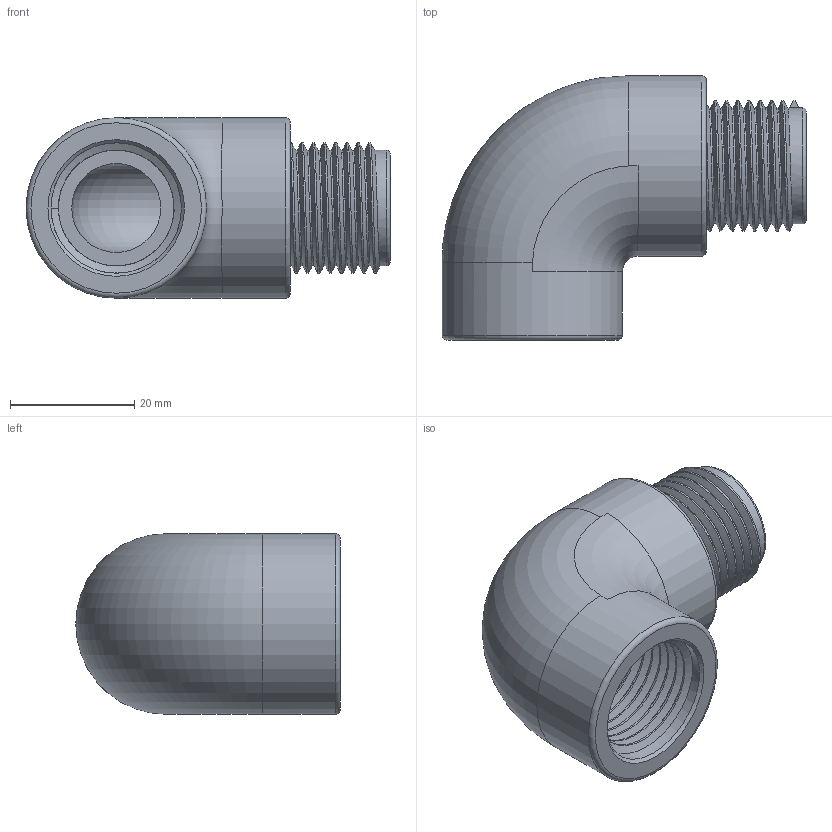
import cadquery as cq
import math

BODY_RADIUS = 14.5
LEG_LENGTH = 28.0
OUTER_BEND_RADIUS = 30.0
INNER_BEND_RADIUS = 2.5
END_FILLET = 0.8

MAJOR_RADIUS = 20.955 / 2
MINOR_RADIUS = 18.631 / 2
PITCH = 1.814
FLANK_ANGLE = math.radians(27.5)
CREST_WIDTH = 0.3
RIDGE_HEIGHT = MAJOR_RADIUS - MINOR_RADIUS
BASE_WIDTH = CREST_WIDTH + 2 * RIDGE_HEIGHT * math.tan(FLANK_ANGLE)
ROOT_OVERLAP = 0.1
THREAD_INSET = 1.9

SPIGOT_LENGTH = 16.0
SPIGOT_TIP = LEG_LENGTH + SPIGOT_LENGTH
SPIGOT_FILLET = 0.5
SPIGOT_TURNS = 8

SOCKET_DEPTH = 16.0
SOCKET_CHAMFER = 0.5
SOCKET_TURNS = 7

BORE_RADIUS = 7.15
BORE_BEND_RADIUS = LEG_LENGTH - SOCKET_DEPTH


def bent_round(radius, bend_radius, socket_end, spigot_end):
    """Round bar from Y = -socket_end, around the bend, to X = spigot_end."""
    diagonal = bend_radius * (1 - math.sqrt(0.5))
    path = (
        cq.Workplane("XY")
        .moveTo(0, -socket_end)
        .lineTo(0, -bend_radius)
        .threePointArc((diagonal, -diagonal), (bend_radius, 0))
        .lineTo(spigot_end, 0)
    )
    section = cq.Workplane("XZ", origin=(0, -socket_end, 0)).circle(radius)
    return section.sweep(path)


def thread_ridge(root_radius, crest_radius, turns):
    """Helical ridge about +Z, its first turn starting at Z = 0 on the +X side."""
    outward = math.copysign(1, crest_radius - root_radius)
    sunk_radius = root_radius - outward * ROOT_OVERLAP
    half_base = BASE_WIDTH / 2 + ROOT_OVERLAP * math.tan(FLANK_ANGLE)
    half_crest = CREST_WIDTH / 2
    helix = cq.Wire.makeHelix(PITCH, turns * PITCH, root_radius)
    profile = (
        cq.Workplane("XZ")
        .moveTo(sunk_radius, -half_base)
        .lineTo(crest_radius, -half_crest)
        .lineTo(crest_radius, half_crest)
        .lineTo(sunk_radius, half_base)
        .close()
    )
    return profile.sweep(cq.Workplane(obj=helix), isFrenet=True)


def on_plane(shape, plane):
    """Move a shape built about the global Z axis onto another plane."""
    return cq.Workplane(obj=shape.val().moved(cq.Location(plane)))


def make_body():
    outer_bar = bent_round(BODY_RADIUS, OUTER_BEND_RADIUS - BODY_RADIUS, LEG_LENGTH, LEG_LENGTH)
    inner_bar = bent_round(BODY_RADIUS, INNER_BEND_RADIUS + BODY_RADIUS, LEG_LENGTH, LEG_LENGTH)
    body = outer_bar.union(inner_bar)
    return body.faces("<Y or >X").edges().fillet(END_FILLET)


def make_spigot():
    core = (
        cq.Workplane("YZ")
        .circle(MINOR_RADIUS)
        .extrude(SPIGOT_TIP)
        .faces(">X")
        .edges()
        .fillet(SPIGOT_FILLET)
    )
    thread_start = SPIGOT_TIP - THREAD_INSET - SPIGOT_TURNS * PITCH
    thread_plane = cq.Plane(origin=(thread_start, 0, 0), xDir=(0, 1, 0), normal=(1, 0, 0))
    ridge = thread_ridge(MINOR_RADIUS, MAJOR_RADIUS, SPIGOT_TURNS)
    return core.union(on_plane(ridge, thread_plane))


def make_socket_hole():
    mouth = cq.Plane(origin=(0, -LEG_LENGTH, 0), xDir=(-1, 0, 0), normal=(0, 1, 0))
    hole = cq.Workplane(mouth).circle(MAJOR_RADIUS).extrude(SOCKET_DEPTH)
    entry_cone = cq.Solid.makeCone(MAJOR_RADIUS + SOCKET_CHAMFER, MAJOR_RADIUS, SOCKET_CHAMFER)
    return hole.union(on_plane(cq.Workplane(obj=entry_cone), mouth))


def make_socket_ridge():
    thread_start = THREAD_INSET - LEG_LENGTH
    thread_plane = cq.Plane(origin=(0, thread_start, 0), xDir=(-1, 0, 0), normal=(0, 1, 0))
    return on_plane(thread_ridge(MAJOR_RADIUS, MINOR_RADIUS, SOCKET_TURNS), thread_plane)


def make_bore():
    return bent_round(BORE_RADIUS, BORE_BEND_RADIUS, LEG_LENGTH, SPIGOT_TIP)


elbow = make_body().union(make_spigot())
elbow = elbow.cut(make_socket_hole()).cut(make_bore())
result = elbow.union(make_socket_ridge())